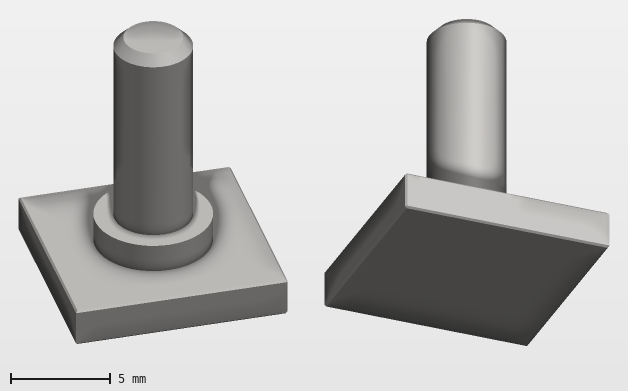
import cadquery as cq

total_height = 14.0
base_side = 11.0
base_thickness = 2.0
base_edge_chamfer = 0.1
collar_diameter = 6.0
collar_height = 1.5
shaft_diameter = 4.0
shaft_tip_chamfer = 0.5

shaft_height = total_height - base_thickness - collar_height

base = (
    cq.Workplane("XY")
    .box(base_side, base_side, base_thickness, centered=(True, True, False))
    .edges("#Z or (|Z and >Y)")
    .chamfer(base_edge_chamfer)
)

collar = (
    cq.Workplane("XY")
    .workplane(offset=base_thickness)
    .circle(collar_diameter / 2)
    .extrude(collar_height)
)

shaft = (
    cq.Workplane("XY")
    .workplane(offset=base_thickness + collar_height)
    .circle(shaft_diameter / 2)
    .extrude(shaft_height)
    .faces(">Z")
    .edges()
    .chamfer(shaft_tip_chamfer)
)

result = base.union(collar).union(shaft)